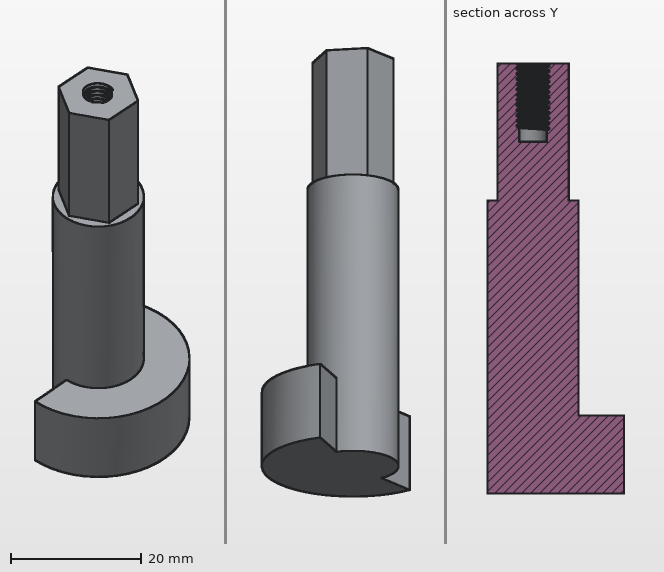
import cadquery as cq
import math

shaft_radius = 7.0
shaft_height = 45.0

cam_radius = 2 * shaft_radius
cam_height = 12.0
cam_start_angle = -90.0
cam_end_angle = 107.5

overall_height = 66.0
hex_height = overall_height - shaft_height
hex_across_flats = 10.95
hex_sides = 6
hex_half_side_angle = 180 / hex_sides
hex_twist = -1.0

thread_major_radius = 2.5
thread_pitch = 0.8
groove_floor = thread_pitch / 8
hole_radius = 2.1
hole_depth = 12.0
thread_depth = 10.0
thread_flank_angle = 30.0
groove_runout_angle = 170.0
end_overrun = thread_pitch
groove_inner_radius = 1.9


def polar(radius, angle):
    return (radius * math.cos(math.radians(angle)), radius * math.sin(math.radians(angle)))


def make_shaft():
    return cq.Workplane("XY").circle(shaft_radius).extrude(shaft_height)


def make_cam():
    middle_angle = (cam_start_angle + cam_end_angle) / 2
    return (
        cq.Workplane("XY")
        .lineTo(*polar(cam_radius, cam_start_angle))
        .threePointArc(polar(cam_radius, middle_angle), polar(cam_radius, cam_end_angle))
        .close()
        .extrude(cam_height)
    )


def make_hexagon():
    corner_diameter = hex_across_flats / math.cos(math.radians(hex_half_side_angle))
    return (
        cq.Workplane("XY")
        .workplane(offset=shaft_height)
        .transformed(rotate=(0, 0, hex_half_side_angle + hex_twist))
        .polygon(hex_sides, corner_diameter)
        .extrude(hex_height)
    )


def make_bore():
    return (
        cq.Workplane("XY")
        .workplane(offset=overall_height - hole_depth)
        .circle(hole_radius)
        .extrude(hole_depth + end_overrun)
    )


def make_thread_groove():
    half_floor = groove_floor / 2
    groove_depth = thread_major_radius - groove_inner_radius
    half_mouth = half_floor + groove_depth * math.tan(math.radians(thread_flank_angle))
    helix = cq.Wire.makeHelix(thread_pitch, thread_depth + end_overrun, hole_radius)
    groove = (
        cq.Workplane("XZ")
        .moveTo(groove_inner_radius, -half_mouth)
        .lineTo(thread_major_radius, -half_floor)
        .lineTo(thread_major_radius, half_floor)
        .lineTo(groove_inner_radius, half_mouth)
        .close()
        .sweep(cq.Workplane(helix), isFrenet=True)
    )
    turn_at_end_face = 360 * thread_depth / thread_pitch
    start_angle = groove_runout_angle - turn_at_end_face
    return (
        groove.rotate((0, 0, 0), (0, 0, 1), start_angle)
        .translate((0, 0, overall_height - thread_depth))
    )


drive = make_hexagon().cut(make_thread_groove()).cut(make_bore())
result = make_shaft().union(make_cam()).union(drive)